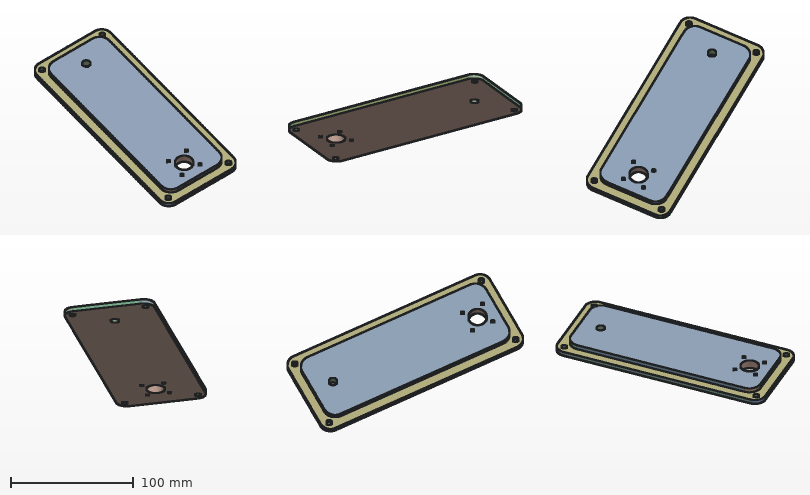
import cadquery as cq

plate_length = 184.0
plate_width = 75.0
plate_corner_radius = 9.0
total_height = 8.0
plate_thickness = total_height / 2

rim_width = 8.0
panel_length = plate_length - 2 * rim_width
panel_width = plate_width - 2 * rim_width
panel_corner_radius = 10.0

mount_hole_diameter = 4.6
mount_hole_inset = 6.8
mount_spacing_x = plate_length - 2 * mount_hole_inset
mount_spacing_y = plate_width - 2 * mount_hole_inset

opening_offset = 66.0
small_opening_diameter = 6.8
large_opening_diameter = 15.0

screw_hole_diameter = 2.5
screw_spacing = 18.4


def rounded_slab(length, width, height, corner_radius):
    """Flat slab standing on Z = 0 with rounded vertical edges."""
    slab = cq.Workplane("XY").box(length, width, height, centered=(True, True, False))
    return slab.edges("|Z").fillet(corner_radius)


def through_pins(diameter, centers):
    """Full-height cylinders that cut holes at the given centres."""
    return cq.Workplane("XY").pushPoints(centers).circle(diameter / 2).extrude(total_height)


def rectangle_corners(center_x, spacing_x, spacing_y):
    """Corners of a rectangle centred on the X axis."""
    return [
        (center_x + side_x * spacing_x / 2, side_y * spacing_y / 2)
        for side_x in (-1, 1)
        for side_y in (-1, 1)
    ]


plate = rounded_slab(plate_length, plate_width, plate_thickness, plate_corner_radius)
panel = rounded_slab(panel_length, panel_width, total_height, panel_corner_radius)
mount_holes = rectangle_corners(0, mount_spacing_x, mount_spacing_y)
screw_holes = rectangle_corners(opening_offset, screw_spacing, screw_spacing)

result = (
    plate.union(panel)
    .cut(through_pins(mount_hole_diameter, mount_holes))
    .cut(through_pins(small_opening_diameter, [(-opening_offset, 0)]))
    .cut(through_pins(large_opening_diameter, [(opening_offset, 0)]))
    .cut(through_pins(screw_hole_diameter, screw_holes))
)